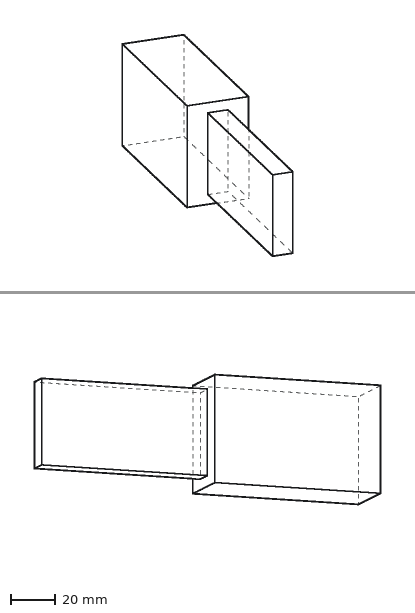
import cadquery as cq

overall_length = 160.0
block_length = 80.0
block_width = 30.0
block_height = 50.0
blade_thickness = 10.0
blade_height = 40.0

blade_length = overall_length - block_length


def bar_along_x(start_x, length, width, height):
    """Rectangular bar starting at start_x, centred on the X axis in Y and Z."""
    bar = cq.Workplane("XY").box(length, width, height, centered=(False, True, True))
    return bar.translate((start_x, 0, 0))


def make_block():
    """Thick handle block with plain faces."""
    return bar_along_x(0, block_length, block_width, block_height)


def make_blade():
    """Thin flat blade that butts against the +X end face of the block."""
    return bar_along_x(block_length, blade_length, blade_thickness, blade_height)


block = make_block()
blade = make_blade()

result = cq.Compound.makeCompound([block.val(), blade.val()])